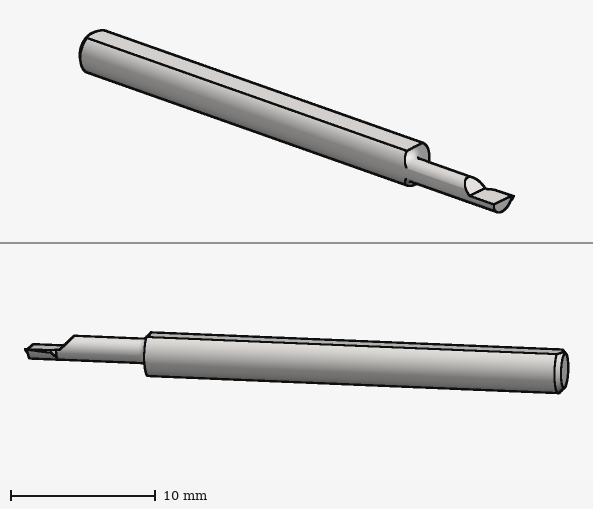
import cadquery as cq
import math

total_length = 38.1
shank_diameter = 3.15
shank_height = 2.9
shank_radius = shank_diameter / 2
shank_length = 29.4
shank_chamfer = 0.4
flat_height = shank_height - shank_radius

neck_diameter = 1.7
neck_radius = neck_diameter / 2
neck_top_y = 0.095
neck_center_y = neck_top_y - neck_radius
neck_fillet = 0.7

rake_start_x = 35.75
head_start_x = 35.95
head_shoulder_x = 36.27
head_shoulder_y = 0.3
tip_y = 0.4
tip_root_y = 0.23
end_relief = 0.15


def cylinder(radius, length):
    """Solid cylinder along X on the shank axis."""
    return cq.Workplane("YZ").circle(radius).extrude(length)


def space_below_flat():
    """Block reaching up to the flat along the top of the shank."""
    block = cq.Workplane("XY").box(
        total_length, shank_diameter, shank_height, centered=(False, True, False)
    )
    return block.translate((0, 0, -shank_radius))


def make_shank():
    shank = cylinder(shank_radius, shank_length).faces("<X").chamfer(shank_chamfer)
    return shank.intersect(space_below_flat())


def make_neck():
    """Offset round neck flaring into the shank through a concave fillet."""
    neck_end_x = total_length - end_relief
    flare_radius = neck_radius + neck_fillet
    neck = (
        cq.Workplane("XY")
        .moveTo(shank_length, 0)
        .lineTo(shank_length, flare_radius)
        .radiusArc((shank_length + neck_fillet, neck_radius), -neck_fillet)
        .lineTo(neck_end_x, neck_radius)
        .lineTo(neck_end_x, 0)
        .close()
        .revolve(360, (0, 0, 0), (1, 0, 0))
        .translate((0, neck_center_y, 0))
    )
    return neck.intersect(cylinder(shank_radius, total_length)).intersect(space_below_flat())


def make_head():
    """Cutting head: a plan outline limited below by a curved clearance flank."""
    outline = (
        cq.Workplane("XY")
        .moveTo(head_start_x, neck_center_y)
        .lineTo(head_start_x, neck_top_y)
        .lineTo(head_shoulder_x, head_shoulder_y)
        .lineTo(total_length, tip_y)
        .lineTo(total_length - end_relief, tip_root_y)
        .lineTo(total_length - end_relief, neck_center_y)
        .close()
        .extrude(-neck_radius)
    )
    half_width = tip_y - neck_center_y
    flank_radius = (half_width**2 + neck_radius**2) / (2 * neck_radius)
    half_angle = math.atan2(neck_radius, half_width)
    flank_middle = (
        neck_center_y + flank_radius * math.sin(half_angle),
        flank_radius * (1 - math.cos(half_angle)) - neck_radius,
    )
    flank = (
        cq.Workplane("YZ")
        .moveTo(neck_center_y, 0)
        .lineTo(neck_center_y, -neck_radius)
        .threePointArc(flank_middle, (tip_y, 0))
        .close()
        .extrude(total_length)
    )
    return outline.intersect(flank)


def make_rake_cut():
    """Space above the flat cutting face and its 45 degree run-out ramp."""
    return (
        cq.Workplane("XZ")
        .moveTo(rake_start_x, 0)
        .lineTo(total_length, 0)
        .lineTo(total_length, shank_radius)
        .lineTo(rake_start_x - shank_radius, shank_radius)
        .close()
        .extrude(shank_radius, both=True)
    )


result = make_shank().union(make_neck()).union(make_head()).cut(make_rake_cut())